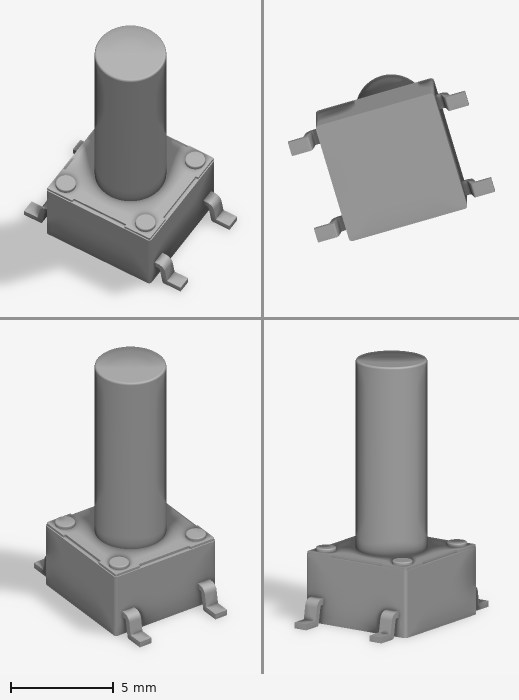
import cadquery as cq
import math

housing_side = 6.0
housing_height = 3.38
housing_corner_radius = 0.15

cover_inset = 0.05
cover_thickness = 0.13
cover_corner_radius = 0.08
notch_length = 3.0
notch_depth = 0.2

rivet_diameter = 1.0
rivet_height = 0.18
rivet_edge_fillet = 0.06
rivet_offset = 2.29

plunger_diameter = 3.5
plunger_top = 13.0
plunger_edge_fillet = 0.1

lead_span = 9.0
lead_width = 0.7
lead_thickness = 0.3
lead_top = 1.3
lead_offset = 2.25
lead_lean = math.radians(10)
foot_length = 0.78
bend_inner_radius = 0.1
bend_outer_radius = bend_inner_radius + lead_thickness
heel_radius = 0.1
lead_embed = 0.26

cover_top = housing_height + cover_thickness


def make_housing():
    box = cq.Workplane("XY").rect(housing_side, housing_side).extrude(housing_height)
    return box.edges("|Z").fillet(housing_corner_radius)


def make_cover():
    cover_side = housing_side - 2 * cover_inset
    plate = (
        cq.Workplane("XY")
        .workplane(offset=housing_height)
        .rect(cover_side, cover_side)
        .extrude(cover_thickness)
        .edges("|Z")
        .fillet(cover_corner_radius)
    )
    notch = (
        cq.Workplane("XY")
        .workplane(offset=housing_height)
        .center(housing_side / 2, 0)
        .rect(2 * notch_depth, notch_length)
        .extrude(cover_thickness)
    )
    for quarter_turn in range(4):
        plate = plate.cut(notch.rotate((0, 0, 0), (0, 0, 1), 90 * quarter_turn))
    return plate


def make_rivets():
    return (
        cq.Workplane("XY")
        .workplane(offset=cover_top)
        .rect(2 * rivet_offset, 2 * rivet_offset, forConstruction=True)
        .vertices()
        .circle(rivet_diameter / 2)
        .extrude(rivet_height)
        .faces(">Z")
        .edges()
        .fillet(rivet_edge_fillet)
    )


def make_plunger():
    return (
        cq.Workplane("XY")
        .workplane(offset=housing_height)
        .circle(plunger_diameter / 2)
        .extrude(plunger_top - housing_height)
        .faces(">Z")
        .edges()
        .fillet(plunger_edge_fillet)
    )


def make_lead():
    """Lead on the +X side, centred on Y = 0."""
    slope = math.tan(lead_lean)
    tip_x = lead_span / 2
    knee_x = tip_x - foot_length
    shank_thickness_x = lead_thickness / math.cos(lead_lean)
    root_x = housing_side / 2 - lead_embed
    bend_underside = lead_top - lead_thickness

    def outer_x(z):
        return knee_x - (z - lead_thickness) * slope

    def inner_x(z):
        return outer_x(z) - shank_thickness_x

    heel = (inner_x(0), 0)
    bend_outer = (outer_x(lead_top), lead_top)
    bend_inner = (inner_x(bend_underside), bend_underside)
    outline = [
        (tip_x, 0),
        (tip_x, lead_thickness),
        (knee_x, lead_thickness),
        bend_outer,
        (root_x, lead_top),
        (root_x, bend_underside),
        bend_inner,
        heel,
    ]
    lead = cq.Workplane("XZ").polyline(outline).close().extrude(lead_width / 2, both=True)

    bends = [
        (bend_outer, bend_outer_radius),
        (bend_inner, bend_inner_radius),
        (heel, heel_radius),
    ]
    for (x, z), radius in bends:
        corner = cq.selectors.NearestToPointSelector((x, 0, z))
        lead = lead.edges("|Y").edges(corner).fillet(radius)
    return lead


result = make_housing().union(make_cover()).union(make_rivets()).union(make_plunger())

lead_right = make_lead()
lead_left = lead_right.mirror("YZ")
for y in (-lead_offset, lead_offset):
    result = result.union(lead_right.translate((0, y, 0)))
    result = result.union(lead_left.translate((0, y, 0)))